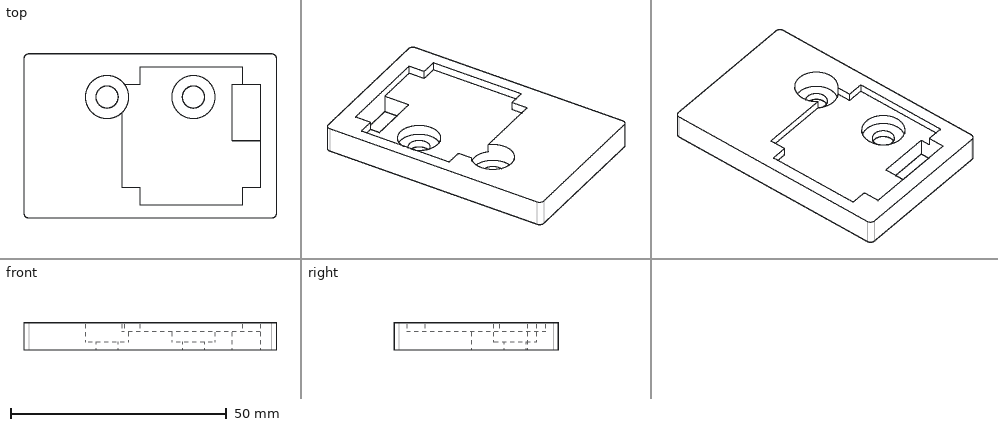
import cadquery as cq

length = 58.5
width = 38.1
thickness = 6.4
corner_diameter = 2.3

pocket_size = 32.0
pocket_notch = 4.1
pocket_center_x = 9.5
pocket_depth = 2.0
pocket_arm = pocket_size - 2 * pocket_notch

window_length = 6.5
window_width = 13.0
window_right = pocket_center_x + pocket_size / 2
window_top = pocket_arm / 2

screw_spacing = 20.0
screw_y = 9.0
screw_diameter = 5.1
counterbore_diameter = 10.0
counterbore_depth = 4.5


def make_plate():
    plate = cq.Workplane("XY").box(length, width, thickness, centered=(True, True, False))
    return plate.edges("|Z").fillet(corner_diameter / 2)


def cut_pocket(body):
    for size_x, size_y in ((pocket_size, pocket_arm), (pocket_arm, pocket_size)):
        bar = (
            cq.Workplane("XY", origin=(pocket_center_x, 0, thickness))
            .rect(size_x, size_y)
            .extrude(-pocket_depth)
        )
        body = body.cut(bar)
    return body


def cut_window(body):
    window = (
        cq.Workplane("XY")
        .center(window_right - window_length / 2, window_top - window_width / 2)
        .rect(window_length, window_width)
        .extrude(thickness)
    )
    return body.cut(window)


def cut_screw_holes(body):
    for screw_x in (-screw_spacing / 2, screw_spacing / 2):
        top_plane = cq.Workplane("XY", origin=(screw_x, screw_y, thickness))
        body = body.cut(top_plane.circle(screw_diameter / 2).extrude(-thickness))
        body = body.cut(top_plane.circle(counterbore_diameter / 2).extrude(-counterbore_depth))
    return body


result = cut_screw_holes(cut_window(cut_pocket(make_plate())))